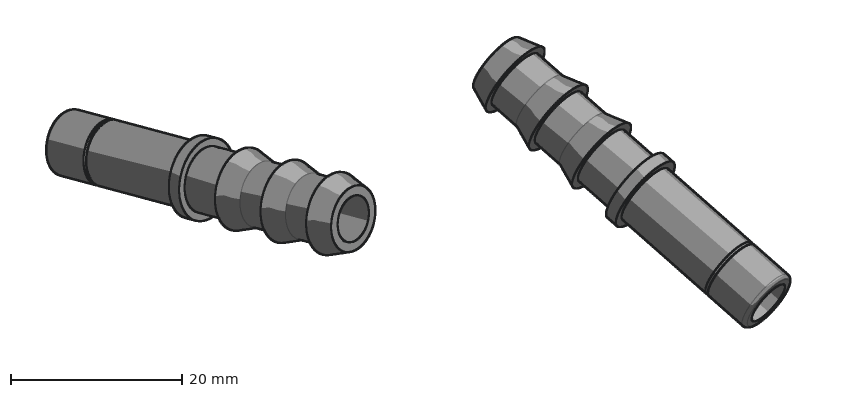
import cadquery as cq

length = 44.0
body_radius = 4.0
bore_radius = 2.8
end_round = 0.45

groove_start = 6.0
groove_width = 0.4
groove_depth = groove_width / 2

flange_diameter = 10.0
flange_radius = flange_diameter / 2
flange_start = 19.95
flange_width = 1.6

barb_count = 3
barb_length = 3.0
barb_pitch = 7.0


def cylinder(start, width, radius):
    """Solid disc or rod centred on the X axis."""
    return cq.Workplane("YZ", origin=(start, 0, 0)).circle(radius).extrude(width)


def barb(start):
    """Cone frustum with its steep shoulder towards the flange."""
    profile = (
        cq.Workplane("XY")
        .moveTo(start, 0)
        .lineTo(start, flange_radius)
        .lineTo(start + barb_length, body_radius)
        .lineTo(start + barb_length, 0)
        .close()
    )
    return profile.revolve(360, (0, 0, 0), (1, 0, 0))


def groove():
    """Ring with an arc-shaped cross section, cut into the body surface."""
    profile = (
        cq.Workplane("XY")
        .moveTo(groove_start, body_radius)
        .threePointArc(
            (groove_start + groove_width / 2, body_radius - groove_depth),
            (groove_start + groove_width, body_radius),
        )
        .close()
    )
    return profile.revolve(360, (0, 0, 0), (1, 0, 0))


result = cylinder(0, length, body_radius).faces("<X").edges().fillet(end_round)
result = result.cut(groove())

result = result.union(cylinder(flange_start, flange_width, flange_radius))
last_barb_start = length - barb_length
for index in range(barb_count):
    result = result.union(barb(last_barb_start - index * barb_pitch))

result = result.cut(cylinder(0, length, bore_radius))